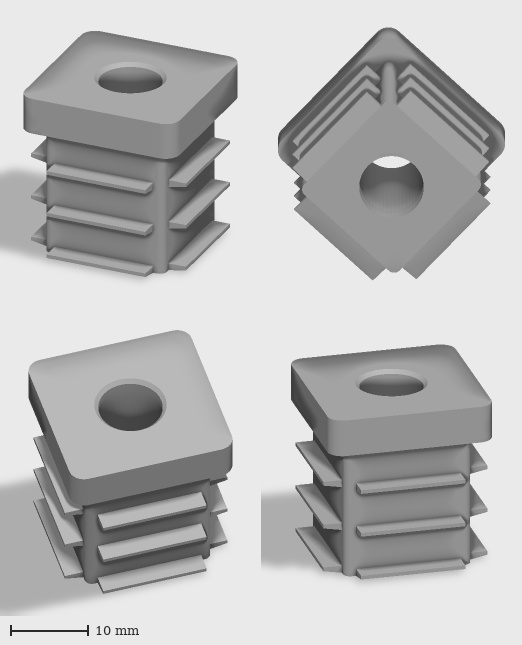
import cadquery as cq

total_height = 23.0
head_width = 22.0
head_height = 5.0
head_corner_radius = 2.0

stem_width = 17.0
stem_corner_radius = 1.0
stem_height = total_height - head_height

fin_length = 14.0
fin_root_height = 1.0
fin_tip_height = 0.5
fin_pitch = 6.0
fin_rows = 3
fin_reach = head_width / 2

hole_diameter = 8.37
mouth_chamfer = 0.5


def rounded_block(width, height, corner_radius, base_z):
    """Square block with rounded vertical edges, centred on the Z axis."""
    block = cq.Workplane("XY").workplane(offset=base_z).rect(width, width).extrude(height)
    return block.edges("|Z").fillet(corner_radius)


def fin(base_z):
    """Fin on the +X face: flat top and an underside that rises to the tip."""
    root = stem_width / 2
    inner = root - stem_corner_radius
    top = base_z + fin_root_height
    profile = [
        (inner, base_z),
        (root, base_z),
        (fin_reach, top - fin_tip_height),
        (fin_reach, top),
        (inner, top),
    ]
    return cq.Workplane("XZ").polyline(profile).close().extrude(fin_length / 2, both=True)


head = rounded_block(head_width, head_height, head_corner_radius, stem_height)
stem = rounded_block(stem_width, stem_height, stem_corner_radius, 0)
body = head.union(stem)

for row in range(fin_rows):
    row_fin = fin(row * fin_pitch)
    for angle in (0, 90, 180, 270):
        body = body.union(row_fin.rotate((0, 0, 0), (0, 0, 1), angle))

hole = cq.Workplane("XY").circle(hole_diameter / 2).extrude(total_height)
mouth = (
    cq.Workplane("XY")
    .workplane(offset=total_height - mouth_chamfer)
    .circle(hole_diameter / 2)
    .workplane(offset=mouth_chamfer)
    .circle(hole_diameter / 2 + mouth_chamfer)
    .loft(ruled=True)
)
result = body.cut(hole).cut(mouth)